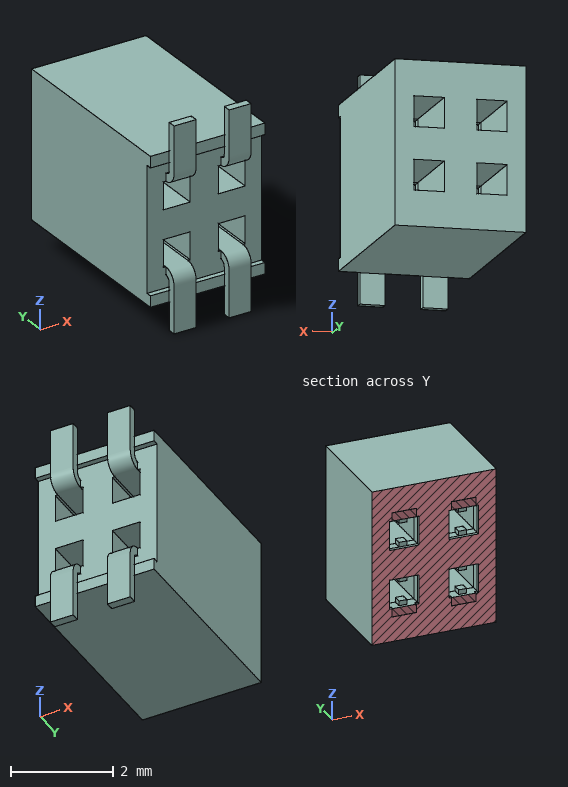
import cadquery as cq
import math

TOTAL_HEIGHT = 4.59
TOTAL_DEPTH = 4.55
HOUSING_WIDTH = 2.65
HOUSING_HEIGHT = 3.332

LIP_HEIGHT = 0.255
LIP_DEPTH = 0.125

PITCH = 1.27
CAVITY_SIZE = 0.615

SHEET_THICKNESS = 0.18
LEAD_WIDTH = 0.51
TAB_WIDTH = 0.17
TAB_HEIGHT = 0.1

LIP_FRONT = -LIP_DEPTH
LEAD_FRONT = LIP_FRONT - SHEET_THICKNESS
HOUSING_BACK = TOTAL_DEPTH + LEAD_FRONT
PLATE_FRONT = (HOUSING_BACK - SHEET_THICKNESS) / 2

INNER_BEND = LIP_DEPTH
OUTER_BEND = INNER_BEND + SHEET_THICKNESS

LEAD_INNER_Z = (PITCH + CAVITY_SIZE) / 2
LEAD_OUTER_Z = LEAD_INNER_Z + SHEET_THICKNESS
BEND_CENTRE_Z = LEAD_INNER_Z + OUTER_BEND
LEAD_TIP_Z = TOTAL_HEIGHT / 2

PLATE_SIZE = PITCH + CAVITY_SIZE + 2 * SHEET_THICKNESS

DIAGONAL = math.sqrt(0.5)

COLUMNS = [-PITCH / 2, PITCH / 2]
CAVITY_CENTRES = [(x, z) for x in COLUMNS for z in COLUMNS]


def block(width, height, front, back, x=0, z=0):
    """Box centred on x and z, reaching from front to back along Y."""
    return cq.Workplane("XY").box(width, back - front, height).translate((x, (front + back) / 2, z))


def cut_cavities(body):
    for x, z in CAVITY_CENTRES:
        body = body.cut(block(CAVITY_SIZE, CAVITY_SIZE, LIP_FRONT, HOUSING_BACK, x, z))
    return body


def make_upper_lead(x):
    """Strip that leaves the plate along the cavity roof, bends up and ends at the lead tip."""
    profile = (
        cq.Workplane("YZ")
        .moveTo(PLATE_FRONT, LEAD_INNER_Z)
        .lineTo(0, LEAD_INNER_Z)
        .threePointArc(
            (-OUTER_BEND * DIAGONAL, BEND_CENTRE_Z - OUTER_BEND * DIAGONAL),
            (LEAD_FRONT, BEND_CENTRE_Z),
        )
        .lineTo(LEAD_FRONT, LEAD_TIP_Z)
        .lineTo(LIP_FRONT, LEAD_TIP_Z)
        .lineTo(LIP_FRONT, BEND_CENTRE_Z)
        .threePointArc(
            (-INNER_BEND * DIAGONAL, BEND_CENTRE_Z - INNER_BEND * DIAGONAL),
            (0, LEAD_OUTER_Z),
        )
        .lineTo(PLATE_FRONT, LEAD_OUTER_Z)
        .close()
    )
    return profile.extrude(LEAD_WIDTH / 2, both=True).translate((x, 0, 0))


def make_contacts():
    """One plate inside the housing, with four leads and a pair of tabs in each cavity."""
    plate_back = PLATE_FRONT + SHEET_THICKNESS
    contacts = cut_cavities(block(PLATE_SIZE, PLATE_SIZE, PLATE_FRONT, plate_back))
    for x, z in CAVITY_CENTRES:
        for side in (-1, 1):
            tab_z = z + side * (CAVITY_SIZE - TAB_HEIGHT) / 2
            contacts = contacts.union(block(TAB_WIDTH, TAB_HEIGHT, PLATE_FRONT, plate_back, x, tab_z))
    for x in COLUMNS:
        upper_lead = make_upper_lead(x)
        contacts = contacts.union(upper_lead).union(upper_lead.mirror("XY"))
    return contacts


def make_housing(contacts):
    """Block with a recess between its lips, the cavities, and a fitting seat for the contacts."""
    housing = block(HOUSING_WIDTH, HOUSING_HEIGHT, LIP_FRONT, HOUSING_BACK)
    housing = housing.cut(block(HOUSING_WIDTH, HOUSING_HEIGHT - 2 * LIP_HEIGHT, LIP_FRONT, 0))
    return cut_cavities(housing).cut(contacts)


contacts = make_contacts()
housing = make_housing(contacts)

result = cq.Compound.makeCompound([housing.solids().val(), contacts.solids().val()])